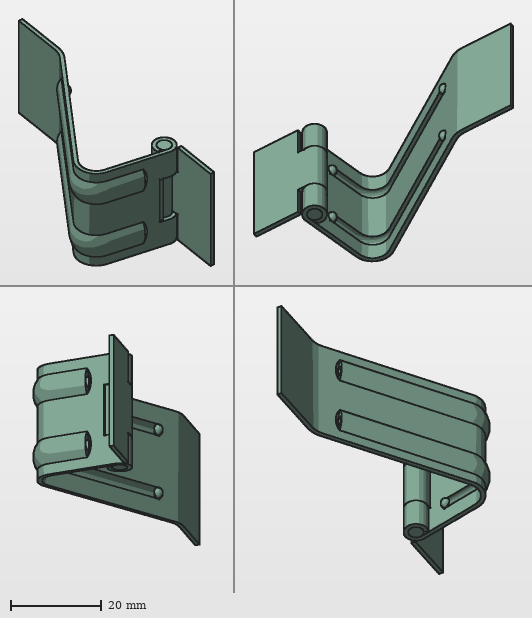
import cadquery as cq
import math

length = 69.5
height = 26.0
sheet = 1.05

first_bend_x = 13.0
first_bend_inner = 5.8
first_bend_angle = math.radians(33)
nose_center = (49.9, -17.9)
nose_outer = 5.1

knuckle_outer = 2.8
pin_radius = knuckle_outer - sheet
hinge_center = (55.0, -knuckle_outer)
end_knuckle_height = 7.0
middle_height = height - 2 * end_knuckle_height
strap_curl_end = math.radians(295)
leaf_curl_tail = 1.95
leaf_edge_x = 57.55
notch_y = -5.8

bead_half_width = 3.05
bead_rise = 1.0
groove_half_width = 1.3
groove_rise = 1.7
bump_half_width = 1.4
bump_rise = 1.1
bump_setback = 0.5
bead_z = 7.45
bead_start_x = 19.7
bead_end_y = -9.9


def polar(center, radius, angle):
    """Point on a circle in the XY plane."""
    return (center[0] + radius * math.cos(angle), center[1] + radius * math.sin(angle))


center_dx = hinge_center[0] - nose_center[0]
center_dy = hinge_center[1] - nose_center[1]
leg_angle = math.atan2(center_dy, center_dx) + math.asin(
    (nose_outer - knuckle_outer) / math.hypot(center_dx, center_dy)
)

long_normal = -math.pi / 2 - first_bend_angle
leg_normal = leg_angle - math.pi / 2
nose_middle = (long_normal + leg_normal) / 2
curl_middle = (leg_normal + strap_curl_end) / 2

first_bend_center = (first_bend_x, -sheet - first_bend_inner)
first_bend_start = math.pi / 2
first_bend_stop = first_bend_start - first_bend_angle
first_bend_middle = (first_bend_start + first_bend_stop) / 2


def strap_sheet():
    """Left flange, long leg, nose, second leg and curl in one bent strip."""
    first_bend_outer = first_bend_inner + sheet
    nose_inner = nose_outer - sheet
    return (
        cq.Workplane("XY", origin=(0, 0, -height / 2))
        .moveTo(0, -sheet)
        .lineTo(first_bend_x, -sheet)
        .threePointArc(
            polar(first_bend_center, first_bend_inner, first_bend_middle),
            polar(first_bend_center, first_bend_inner, first_bend_stop),
        )
        .lineTo(*polar(nose_center, nose_outer, long_normal))
        .threePointArc(
            polar(nose_center, nose_outer, nose_middle),
            polar(nose_center, nose_outer, leg_normal),
        )
        .lineTo(*polar(hinge_center, knuckle_outer, leg_normal))
        .threePointArc(
            polar(hinge_center, knuckle_outer, curl_middle),
            polar(hinge_center, knuckle_outer, strap_curl_end),
        )
        .lineTo(*polar(hinge_center, pin_radius, strap_curl_end))
        .threePointArc(
            polar(hinge_center, pin_radius, curl_middle),
            polar(hinge_center, pin_radius, leg_normal),
        )
        .lineTo(*polar(nose_center, nose_inner, leg_normal))
        .threePointArc(
            polar(nose_center, nose_inner, nose_middle),
            polar(nose_center, nose_inner, long_normal),
        )
        .lineTo(*polar(first_bend_center, first_bend_outer, first_bend_stop))
        .threePointArc(
            polar(first_bend_center, first_bend_outer, first_bend_middle),
            (first_bend_x, 0),
        )
        .lineTo(0, 0)
        .close()
        .extrude(height)
    )


def knuckle_notch():
    """Room in the strap for the leaf's middle knuckle."""
    notch_length = knuckle_outer * 4
    return cq.Workplane("XY").box(
        notch_length, -notch_y, middle_height
    ).translate((hinge_center[0], notch_y / 2, 0))


nose_start = polar(nose_center, nose_outer, long_normal)
nose_stop = polar(nose_center, nose_outer, leg_normal)
bead_start = (
    bead_start_x,
    nose_start[1] + (nose_start[0] - bead_start_x) * math.tan(first_bend_angle),
)
bead_end = (
    nose_stop[0] + (bead_end_y - nose_stop[1]) / math.tan(leg_angle),
    bead_end_y,
)


def face_plane(point, normal_angle, z, depth=0.0):
    """Plane across the bead: local X is the outward normal, local Y is Z."""
    x, y = polar(point, -depth, normal_angle)
    outward = cq.Vector(math.cos(normal_angle), math.sin(normal_angle), 0)
    return cq.Plane(
        origin=(x, y, z), xDir=outward, normal=outward.cross(cq.Vector(0, 0, 1))
    )


def arch(plane, half_width, rise, root=0.0):
    """Arched section with its chord along Z; the root deepens it past the chord."""
    profile = cq.Workplane(plane).moveTo(0, -half_width)
    profile = profile.threePointArc((rise, 0), (0, half_width))
    if root:
        profile = profile.lineTo(-root, half_width).lineTo(-root, -half_width)
    return profile.close()


def along_strap(half_width, rise, z, depth, root):
    """Arched section swept down the long leg, round the nose and up the second leg."""
    radius = nose_outer - depth
    path = (
        cq.Workplane("XY", origin=(0, 0, z))
        .moveTo(*polar(bead_start, -depth, long_normal))
        .lineTo(*polar(nose_center, radius, long_normal))
        .threePointArc(
            polar(nose_center, radius, nose_middle),
            polar(nose_center, radius, leg_normal),
        )
        .lineTo(*polar(bead_end, -depth, leg_normal))
    )
    plane = face_plane(bead_start, long_normal, z, depth)
    return arch(plane, half_width, rise, root).sweep(path)


def spindle(point, normal_angle, half_width, rise, z, depth=0.0):
    """Arch turned about its own chord."""
    plane = face_plane(point, normal_angle, z, depth)
    return arch(plane, half_width, rise).revolve(360, (0, 0), (0, 1))


def half_space(point, normal_angle, direction, z, depth=0.0):
    """Block used to keep the part of a spindle on one side of its chord."""
    size = 4 * bead_half_width
    x, y = polar(polar(point, -depth, normal_angle), size / 2, direction)
    block = cq.Workplane("XY").box(size, size, size)
    return block.rotate((0, 0, 0), (0, 0, 1), math.degrees(direction)).translate((x, y, z))


def add_bead(strap, z):
    """Raised bead with a groove behind it, and a dish and a bump at each end."""
    embed = sheet / 2
    strap = strap.union(along_strap(bead_half_width, bead_rise, z, 0.0, embed))
    strap = strap.cut(along_strap(groove_half_width, groove_rise, z, sheet, embed))
    ends = [
        (bead_start, long_normal, long_normal - math.pi / 2),
        (bead_end, leg_normal, leg_normal + math.pi / 2),
    ]
    for point, normal_angle, away in ends:
        dish = spindle(point, normal_angle, bead_half_width, bead_rise, z)
        strap = strap.cut(dish.intersect(half_space(point, normal_angle, away, z)))
        bump_point = polar(point, -bump_setback, away)
        bump = spindle(bump_point, normal_angle, bump_half_width, bump_rise, z, sheet)
        inward = normal_angle + math.pi
        strap = strap.union(bump.intersect(half_space(bump_point, normal_angle, inward, z, sheet)))
    return strap


def make_strap():
    strap = strap_sheet().cut(knuckle_notch())
    for z in (-bead_z, bead_z):
        strap = add_bead(strap, z)
    return strap


def make_leaf():
    """Flat leaf whose middle tab curls round the pin."""
    center_x, center_y = hinge_center
    tail_x = center_x + leaf_curl_tail
    tab = (
        cq.Workplane("XY", origin=(0, 0, -middle_height / 2))
        .moveTo(leaf_edge_x, 0)
        .lineTo(center_x, 0)
        .threePointArc((center_x - knuckle_outer, center_y), (center_x, center_y - knuckle_outer))
        .lineTo(tail_x, center_y - knuckle_outer)
        .lineTo(tail_x, center_y - pin_radius)
        .lineTo(center_x, center_y - pin_radius)
        .threePointArc((center_x - pin_radius, center_y), (center_x, center_y + pin_radius))
        .lineTo(leaf_edge_x, -sheet)
        .close()
        .extrude(middle_height)
    )
    plate = cq.Workplane("XY").box(length - leaf_edge_x, sheet, height)
    plate = plate.translate(((length + leaf_edge_x) / 2, -sheet / 2, 0))
    return plate.union(tab)


def make_pin():
    return (
        cq.Workplane("XY", origin=(*hinge_center, -height / 2))
        .circle(pin_radius)
        .extrude(height)
    )


strap = make_strap()
leaf = make_leaf()
pin = make_pin()

result = cq.Compound.makeCompound([*strap.solids().vals(), *leaf.solids().vals(), pin.val()])